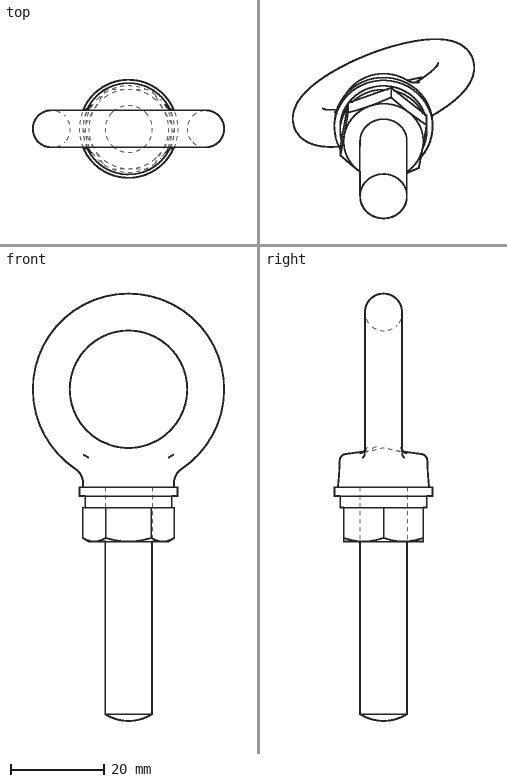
import cadquery as cq
import math

total_height = 91.5

ring_outer_diameter = 41.0
ring_bar_diameter = 8.0
ring_bar_radius = ring_bar_diameter / 2
ring_path_radius = ring_outer_diameter / 2 - ring_bar_radius
ring_centre_z = total_height - ring_outer_diameter / 2

shank_radius = 5.0
dome_height = 1.5

nut_bottom_z = 38.4
nut_height = 7.2
nut_across_flats = 17.0
nut_chamfer_angle = 30.0
small_washer_diameter = 18.6
small_washer_thickness = 2.5
large_washer_diameter = 21.0
large_washer_thickness = 1.9
small_washer_z = nut_bottom_z + nut_height
large_washer_z = small_washer_z + small_washer_thickness

head_bottom_z = large_washer_z + large_washer_thickness
head_bottom_radius = 9.8
head_top_radius = 9.3
head_rim_height = 6.95
head_crown_height = 1.3
head_rim_fillet = 1.5
ring_blend_radius = 3.7

surface_tolerance = 0.001


def make_shank():
    """Shank from its domed lower end up to the underside of the head."""
    profile = (
        cq.Workplane("XZ")
        .moveTo(0, 0)
        .threePointArc(dome_point(shank_radius / 2), (shank_radius, dome_height))
        .lineTo(shank_radius, head_bottom_z)
        .lineTo(0, head_bottom_z)
        .close()
    )
    return profile.revolve(360, (0, 0), (0, 1))


def dome_point(x):
    """Point of the spherical shank end at distance x from the axis."""
    dome_radius = (shank_radius**2 + dome_height**2) / (2 * dome_height)
    return (x, dome_radius - math.sqrt(dome_radius**2 - x**2))


def make_head():
    """Tapered head with a rounded rim and a low conical crown."""
    rim_z = head_bottom_z + head_rim_height
    profile = (
        cq.Workplane("XZ")
        .moveTo(0, head_bottom_z)
        .lineTo(head_bottom_radius, head_bottom_z)
        .lineTo(head_top_radius, rim_z)
        .lineTo(0, rim_z + head_crown_height)
        .close()
    )
    head = profile.revolve(360, (0, 0), (0, 1))
    rim = cq.selectors.BoxSelector(
        (-ring_outer_diameter, -ring_outer_diameter, rim_z - head_crown_height / 2),
        (ring_outer_diameter, ring_outer_diameter, rim_z + head_crown_height / 2),
        boundingbox=True,
    )
    return head.edges(rim).fillet(head_rim_fillet)


def make_ring():
    """Torus whose axis runs along Y."""
    ring = cq.Solid.makeTorus(
        ring_path_radius, ring_bar_radius, cq.Vector(0, 0, ring_centre_z), cq.Vector(0, 1, 0)
    )
    return cq.Workplane(ring)


def is_junction(edge):
    """True for an edge where the ring surface meets the head."""
    point = edge.positionAt(0.5)
    from_path = math.hypot(
        math.hypot(point.x, point.z - ring_centre_z) - ring_path_radius, point.y
    )
    on_ring = abs(from_path - ring_bar_radius) < surface_tolerance
    head_top_z = head_bottom_z + head_rim_height + head_crown_height
    return on_ring and head_bottom_z < point.z < head_top_z and abs(point.y) > surface_tolerance


def make_eye_bolt():
    """Ring, head and shank as one forging, blended where the ring enters the head."""
    forging = make_head().union(make_ring())
    junction = [edge for edge in forging.edges().vals() if is_junction(edge)]
    blended = forging.newObject(junction).fillet(ring_blend_radius)
    return blended.union(make_shank())


def make_washer(diameter, thickness, bottom_z):
    """Flat ring around the shank."""
    return (
        cq.Workplane("XY", origin=(0, 0, bottom_z))
        .circle(diameter / 2)
        .circle(shank_radius)
        .extrude(thickness)
    )


def make_nut():
    """Hexagon nut with two corners on the X axis and its lower corners chamfered."""
    flat_radius = nut_across_flats / 2
    corner_radius = flat_radius / math.cos(math.radians(30))
    chamfer_height = (corner_radius - flat_radius) * math.tan(math.radians(nut_chamfer_angle))
    hexagon = (
        cq.Workplane("XY", origin=(0, 0, nut_bottom_z))
        .polygon(6, 2 * corner_radius)
        .circle(shank_radius)
        .extrude(nut_height)
    )
    chamfered_blank = (
        cq.Workplane("XZ")
        .moveTo(0, nut_bottom_z)
        .lineTo(flat_radius, nut_bottom_z)
        .lineTo(corner_radius, nut_bottom_z + chamfer_height)
        .lineTo(corner_radius, nut_bottom_z + nut_height)
        .lineTo(0, nut_bottom_z + nut_height)
        .close()
        .revolve(360, (0, 0), (0, 1))
    )
    return hexagon.intersect(chamfered_blank)


eye_bolt = make_eye_bolt()
large_washer = make_washer(large_washer_diameter, large_washer_thickness, large_washer_z)
small_washer = make_washer(small_washer_diameter, small_washer_thickness, small_washer_z)
nut = make_nut()

result = cq.Compound.makeCompound(
    [eye_bolt.val(), large_washer.val(), small_washer.val(), nut.val()]
)